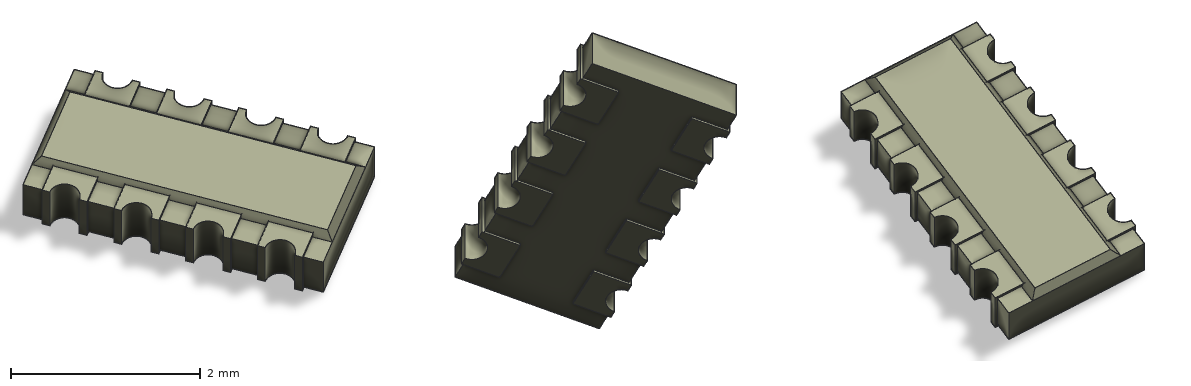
import cadquery as cq

base_length = 3.35
base_width = 1.69
base_height = 0.49

plating = 0.03

terminals_per_side = 4
terminal_pitch = 0.8
terminal_width = 0.502
terminal_reach = 0.445
notch_radius = 0.165

cover_width = 1.1
cover_height = 0.08
cover_slope = 45

base_bottom = plating
base_top = base_bottom + base_height
terminal_height = base_top + plating
terminal_face = base_width / 2 + plating
terminal_inner_end = terminal_face - terminal_reach
socket_radius = notch_radius + plating
first_terminal_x = -terminal_pitch * (terminals_per_side - 1) / 2
terminal_places = [
    (first_terminal_x + index * terminal_pitch, side)
    for side in (-1, 1)
    for index in range(terminals_per_side)
]


def make_post(x, side, radius):
    """Upright cylinder on the outer face of one terminal, used to cut round notches."""
    return (
        cq.Workplane("XY")
        .center(x, side * terminal_face)
        .circle(radius)
        .extrude(terminal_height)
    )


def make_base():
    """Rectangular block with a round socket behind every terminal notch."""
    base = (
        cq.Workplane("XY", origin=(0, 0, base_bottom))
        .rect(base_length, base_width)
        .extrude(base_height)
    )
    for x, side in terminal_places:
        base = base.cut(make_post(x, side, socket_radius))
    return base


def make_cover_blank():
    """Low slab along the middle of the base, sloping inward on all four sides."""
    return (
        cq.Workplane("XY", origin=(0, 0, base_top))
        .rect(base_length, cover_width)
        .extrude(cover_height, taper=cover_slope)
    )


def make_terminal(x, side, base):
    """C-shaped clip around the base edge, with a notch down its outer face."""
    middle_y = side * (terminal_face + terminal_inner_end) / 2
    block = (
        cq.Workplane("XY")
        .center(x, middle_y)
        .rect(terminal_width, terminal_reach)
        .extrude(terminal_height)
    )
    return block.cut(make_post(x, side, notch_radius)).cut(base)


base = make_base()
terminals = [make_terminal(x, side, base) for x, side in terminal_places]

cover = make_cover_blank()
for terminal in terminals:
    cover = cover.cut(terminal)

result = cq.Compound.makeCompound(
    [base.val(), cover.val(), *[terminal.val() for terminal in terminals]]
)